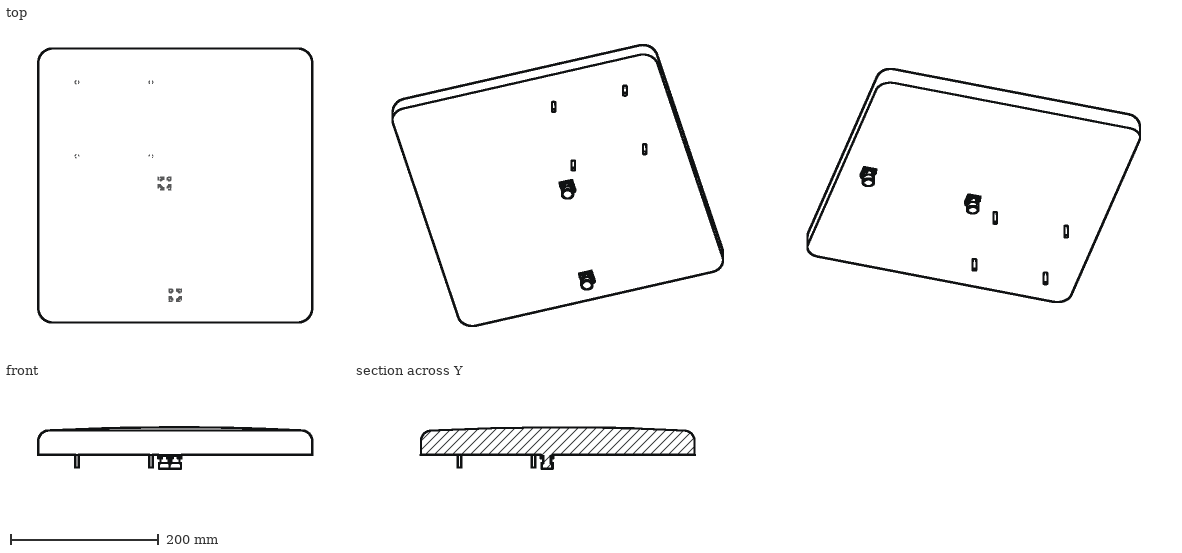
import cadquery as cq

SIDE = 370.8
CORNER_RADIUS = 20.0
EDGE_RADIUS = 15.0
BASE_PLATE_THICKNESS = 3.0
STRAIGHT_WALL_HEIGHT = 18.3
RIM_HEIGHT = STRAIGHT_WALL_HEIGHT + EDGE_RADIUS

DOME_RADIUS = SIDE / 2 - EDGE_RADIUS
DOME_HEIGHT = 4.4

PIN_DIAMETER = 5.0
PIN_LENGTH = 17.0
PIN_SPACING = 100.0
PIN_PATTERN_CENTER = (-82.8, 89.6)

TOTAL_HEIGHT = 56.7
CONNECTOR_LENGTH = TOTAL_HEIGHT - RIM_HEIGHT - DOME_HEIGHT
CONNECTOR_CENTERS = [(0.0, -148.3), (-14.5, 2.8)]
CONNECTOR_NECK_DIAMETER = 11.5
CONNECTOR_CAP_DIAMETER = 15.6
CONNECTOR_CAP_LENGTH = 8.0
CONNECTOR_CAP_CHAMFER = 1.0
SCREW_HEAD_DIAMETER = 5.5
SCREW_HEAD_HEIGHT = 3.3
SCREW_SPACING = 11.8
SCREW_HEAD_CHAMFER = 0.5
FLANGE_SIDE = SCREW_SPACING + SCREW_HEAD_DIAMETER
FLANGE_THICKNESS = 1.5


def rounded_square(height):
    """Square prism with rounded vertical corners, standing on Z = 0."""
    return cq.Workplane("XY").rect(SIDE, SIDE).extrude(height).edges("|Z").fillet(CORNER_RADIUS)


def make_housing():
    base_plate = rounded_square(BASE_PLATE_THICKNESS)
    cover = rounded_square(RIM_HEIGHT).faces(">Z").edges().fillet(EDGE_RADIUS)
    return cover.union(base_plate, clean=False)


def make_dome():
    """Spherical cap on the flat top of the housing."""
    sphere_radius = (DOME_RADIUS**2 + DOME_HEIGHT**2) / (2 * DOME_HEIGHT)
    apex_height = RIM_HEIGHT + DOME_HEIGHT
    profile = (
        cq.Workplane("XZ")
        .moveTo(0, STRAIGHT_WALL_HEIGHT)
        .lineTo(DOME_RADIUS, STRAIGHT_WALL_HEIGHT)
        .lineTo(DOME_RADIUS, RIM_HEIGHT)
        .radiusArc((0, apex_height), -sphere_radius)
        .close()
    )
    return profile.revolve()


def hanging_cylinder(diameter, length):
    """Cylinder reaching down from the underside of the base."""
    return cq.Workplane("XY").circle(diameter / 2).extrude(-length)


def make_pins():
    return (
        cq.Workplane("XY")
        .center(*PIN_PATTERN_CENTER)
        .rect(PIN_SPACING, PIN_SPACING, forConstruction=True)
        .vertices()
        .circle(PIN_DIAMETER / 2)
        .extrude(-PIN_LENGTH)
    )


def chamfered_cylinder(diameter, length, chamfer):
    """Hanging cylinder with its lower rim chamfered."""
    return hanging_cylinder(diameter, length).faces("<Z").chamfer(chamfer)


def make_connector():
    """Neck with a wider cap at its end and a square flange held by a screw at each corner."""
    cap_offset = CONNECTOR_CAP_LENGTH - CONNECTOR_LENGTH
    cap = chamfered_cylinder(CONNECTOR_CAP_DIAMETER, CONNECTOR_CAP_LENGTH, CONNECTOR_CAP_CHAMFER)
    flange = cq.Workplane("XY").rect(FLANGE_SIDE, FLANGE_SIDE).extrude(-FLANGE_THICKNESS)
    connector = hanging_cylinder(CONNECTOR_NECK_DIAMETER, CONNECTOR_LENGTH)
    connector = connector.union(cap.translate((0, 0, cap_offset))).union(flange)
    screw_head = chamfered_cylinder(SCREW_HEAD_DIAMETER, SCREW_HEAD_HEIGHT, SCREW_HEAD_CHAMFER)
    for x_side in (-1, 1):
        for y_side in (-1, 1):
            screw_x = x_side * SCREW_SPACING / 2
            screw_y = y_side * SCREW_SPACING / 2
            connector = connector.union(screw_head.translate((screw_x, screw_y, -FLANGE_THICKNESS)))
    return connector


result = make_housing().union(make_dome(), clean=False).union(make_pins(), clean=False)
connector = make_connector()
for x, y in CONNECTOR_CENTERS:
    result = result.union(connector.translate((x, y, 0)), clean=False)